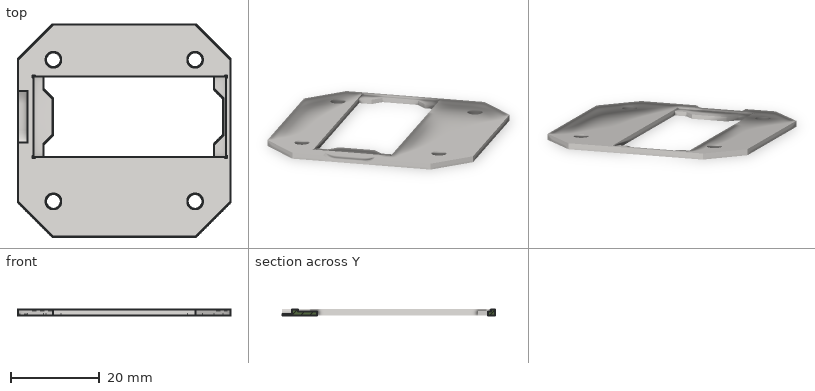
import cadquery as cq
import math

plate_side = 48.02
plate_thickness = 1.4
corner_cut = 7.86

hole_diameter = 3.4
hole_spacing = 32.0

window_left = -20.45
window_right = 23.0
window_center_y = 3.12
window_height = 18.15
recess_depth = 0.4
relief_radius = .25

opening_left = -18.2
opening_right = 20.25
band_shift = 2.07
band_half_height = 4.15
band_shoulder_half_height = band_half_height + band_shift

notch_length = 2.1
notch_depth = 1.0
notch_floor_half_width = 3.18
notch_end_radius = 4.0


def make_plate():
    """Square plate with its four corners cut at 45 degrees."""
    blank = cq.Workplane("XY").box(plate_side, plate_side, plate_thickness, centered=(True, True, False))
    return blank.edges("|Z").chamfer(corner_cut)


def make_mounting_holes():
    """Four through holes."""
    return (
        cq.Workplane("XY")
        .rect(hole_spacing, hole_spacing, forConstruction=True)
        .vertices()
        .circle(hole_diameter / 2)
        .extrude(plate_thickness)
    )


def make_recess():
    """Shallow rectangular recess with a round relief at each corner."""
    width = window_right - window_left
    center_x = (window_left + window_right) / 2
    floor = cq.Workplane("XY", origin=(center_x, window_center_y, plate_thickness - recess_depth))
    pocket = floor.rect(width, window_height).extrude(recess_depth)
    reliefs = (
        floor.rect(width, window_height, forConstruction=True)
        .vertices()
        .circle(relief_radius)
        .extrude(recess_depth)
    )
    return pocket.union(reliefs)


def opening_side(x):
    """Points up one side of the opening, which steps towards +X in the middle band."""
    return [
        (x, -window_height / 2),
        (x, -band_shoulder_half_height),
        (x + band_shift, -band_half_height),
        (x + band_shift, band_half_height),
        (x, band_shoulder_half_height),
        (x, window_height / 2),
    ]


def make_opening():
    """Through opening between the two ledges."""
    outline = opening_side(opening_left) + opening_side(opening_right)[::-1]
    return (
        cq.Workplane("XY", origin=(0, window_center_y, 0))
        .polyline(outline)
        .close()
        .extrude(plate_thickness)
    )


def end_arc_offset(height):
    """Distance along Y from the floor's end to the end arc at a height above the floor."""
    return math.sqrt(notch_end_radius**2 - (notch_end_radius - height) ** 2)


def make_finger_notch():
    """Notch open to the top and the -X edge; each end is an arc tangent to the floor."""
    floor_z = plate_thickness - notch_depth
    mid_height = notch_depth / 2
    mid_y = notch_floor_half_width + end_arc_offset(mid_height)
    top_y = notch_floor_half_width + end_arc_offset(notch_depth)
    return (
        cq.Workplane("YZ", origin=(-plate_side / 2, window_center_y, floor_z))
        .moveTo(-notch_floor_half_width, 0)
        .lineTo(notch_floor_half_width, 0)
        .threePointArc((mid_y, mid_height), (top_y, notch_depth))
        .lineTo(-top_y, notch_depth)
        .threePointArc((-mid_y, mid_height), (-notch_floor_half_width, 0))
        .close()
        .extrude(notch_length)
    )


result = (
    make_plate()
    .cut(make_mounting_holes())
    .cut(make_recess())
    .cut(make_opening())
    .cut(make_finger_notch())
)